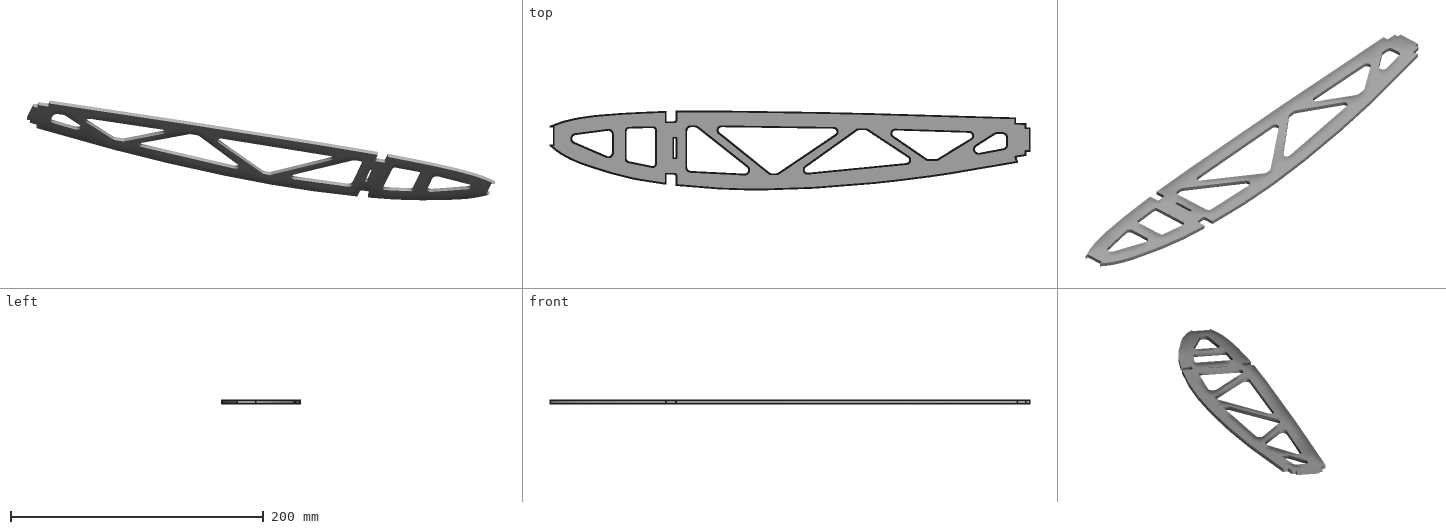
import cadquery as cq

thickness = 3.0
length = 379.53

nose_top = (0.0, 17.0)
nose_bottom = (0.0, 2.2)
upper_skin = [(11.2, 21.0), (37.6, 25.6), (69.2, 27.8), (107.0, 29.1), (150.0, 28.8), (213.0, 27.9),
              (300.0, 25.65), (368.1, 23.6)]
lower_skin = [(9.4, -5.0), (34.0, -15.5), (65.0, -24.1), (91.5, -28.4), (155.5, -32.9), (208.5, -31.6),
              (272.6, -26.05), (314.9, -20.4), (349.2, -14.6), (369.6, -11.1)]

nose_notch_depth = 2.7

shoulder_start_x = upper_skin[-1][0]
shoulder_end_x = 376.3
shoulder_top_start = 19.35
shoulder_top_end = 19.1
shoulder_bottom_start = -7.0
shoulder_bottom_end = -5.6
tab_top = 15.8
tab_bottom = -2.4

slot_width = 2.3
slot_height = 15.9
slot_center_x = 98.7

notch_front_x = 91.5
notch_rear_x = 99.8
notch_floor = 20.4
notch_radius = 2.0
notch_open_end = 40.0

nose_window = [(7.2, 9.2), (49.5, 14.8), (49.5, -9.1)]
front_window = [(59.9, 15.9), (83.6, 16.5), (83.6, -15.5), (59.9, -10.7)]
spar_window = [(107.8, 17.1), (115.8, 17.1), (164.6, -21.5), (107.8, -18.6)]
front_truss_window = [(126.8, 17.2), (233.9, 15.7), (179.9, -20.7), (174.1, -20.7)]
middle_truss_window = [(243.4, 14.8), (250.4, 14.8), (290.5, -11.7), (192.8, -21.3)]
rear_truss_window = [(262.9, 14.8), (341.8, 12.3), (306.3, -9.4), (298.2, -9.4)]
tail_window = [(352.8, 11.9), (361.5, 11.6), (361.5, -0.4), (321.9, -7.8)]

tight_radius = 2.5
truss_radius = 3.0
wide_radius = 3.5


def rib_blank():
    return (
        cq.Workplane("XY")
        .moveTo(*nose_top)
        .spline(upper_skin, includeCurrent=True)
        .lineTo(shoulder_start_x, shoulder_top_start)
        .lineTo(shoulder_end_x, shoulder_top_end)
        .lineTo(shoulder_end_x, tab_top)
        .lineTo(length, tab_top)
        .lineTo(length, tab_bottom)
        .lineTo(shoulder_end_x, tab_bottom)
        .lineTo(shoulder_end_x, shoulder_bottom_end)
        .lineTo(shoulder_start_x, shoulder_bottom_start)
        .lineTo(*lower_skin[-1])
        .spline(lower_skin[-2::-1] + [nose_bottom], includeCurrent=True)
        .lineTo(nose_notch_depth, nose_bottom[1])
        .lineTo(nose_notch_depth, nose_top[1])
        .close()
        .extrude(thickness)
    )


def spar_slot():
    return cq.Workplane("XY").center(slot_center_x, 0).rect(slot_width, slot_height).extrude(thickness)


def upper_skin_notch():
    """Open notch with its rear floor corner rounded."""
    return (
        cq.Workplane("XY")
        .moveTo(notch_front_x, notch_floor)
        .lineTo(notch_rear_x - notch_radius, notch_floor)
        .radiusArc((notch_rear_x, notch_floor + notch_radius), -notch_radius)
        .lineTo(notch_rear_x, notch_open_end)
        .lineTo(notch_front_x, notch_open_end)
        .close()
        .extrude(thickness)
    )


def window(sharp_corners, radius):
    prism = cq.Workplane("XY").polyline(sharp_corners).close().extrude(thickness)
    return prism.edges("|Z").fillet(radius)


result = rib_blank().cut(spar_slot())
result = result.cut(upper_skin_notch()).cut(upper_skin_notch().mirror("XZ"))

result = result.cut(window(front_window, tight_radius))
for sharp_corners in (front_truss_window, middle_truss_window, rear_truss_window):
    result = result.cut(window(sharp_corners, truss_radius))
for sharp_corners in (nose_window, spar_window, tail_window):
    result = result.cut(window(sharp_corners, wide_radius))